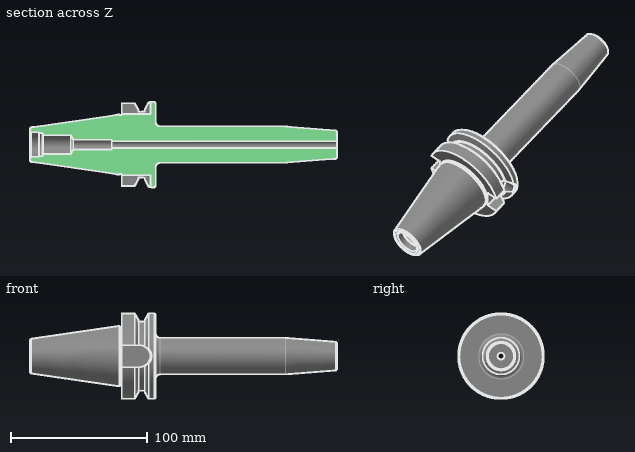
import cadquery as cq
import math

TAPER_LENGTH = 65.4
GAUGE_TO_FLANGE = 2.0
GAUGE_TO_SHOULDER = 27.0
GAUGE_TO_NOSE = 160.0
X_FLANGE = TAPER_LENGTH + GAUGE_TO_FLANGE
X_SHOULDER = TAPER_LENGTH + GAUGE_TO_SHOULDER
X_NOSE = TAPER_LENGTH + GAUGE_TO_NOSE

GAUGE_RADIUS = 44.45 / 2
TAPER_SLOPE = 7 / 24 / 2
TAPER_END_RADIUS = GAUGE_RADIUS - TAPER_LENGTH * TAPER_SLOPE
TAPER_END_CHAMFER = 0.9

RELIEF_DEPTH = 0.5
RELIEF_WIDTH = 1.0

FLANGE_RADIUS = 63 / 2
FLANGE_EDGE_CHAMFER = 1.0
GROOVE_CENTRE = TAPER_LENGTH + 16.6
GROOVE_WIDTH = 10.2
GROOVE_FLOOR_WIDTH = 4.5
GROOVE_FLOOR_RADIUS = 25.5
GROOVE_FLANK_ANGLE = 30.0

SLOT_WIDTH = 16.1
SLOT_FLOOR = 22.5
SLOT_END = 88.4
SLOT_RIM_CHAMFER = 1.0

SHANK_RADIUS = 13.5
SHANK_FILLET = 3.0
NOSE_RADIUS = 10.5
NOSE_ANGLE = 4.5
NOSE_CHAMFER = 1.0

MOUTH_RADIUS = 10.2
MOUTH_CONE_DEPTH = 1.0
PILOT_RADIUS = 8.9
PILOT_DEPTH = 6.5
THREAD_RADIUS = 8.4
THREAD_DEPTH = 9.0
CORE_RADIUS = 6.8
CORE_DEPTH = 30.0
STEP_ANGLE = 60.0
DRILL_POINT_ANGLE = 60.0
DRILL_RADIUS = 3.5
DRILL_DEPTH = 60.0
THROUGH_RADIUS = 2.4


def cone_length(large_radius, small_radius, half_angle):
    """Length over which a cone narrows between two radii, for a half angle in degrees."""
    return (large_radius - small_radius) / math.tan(math.radians(half_angle))


def make_body():
    """Revolve the outer outline of the holder about the X axis."""
    groove_flank_depth = cone_length(GROOVE_WIDTH / 2, GROOVE_FLOOR_WIDTH / 2, GROOVE_FLANK_ANGLE)
    groove_wall_radius = FLANGE_RADIUS - groove_flank_depth
    floor_start = GROOVE_CENTRE - GROOVE_FLOOR_WIDTH / 2
    floor_end = GROOVE_CENTRE + GROOVE_FLOOR_WIDTH / 2
    nose_length = cone_length(SHANK_RADIUS, NOSE_RADIUS, NOSE_ANGLE)
    relief_radius = GAUGE_RADIUS - RELIEF_DEPTH
    fillet_mid = SHANK_FILLET * (1 - math.sqrt(0.5))
    nose_chamfer_radius = NOSE_RADIUS + NOSE_CHAMFER * math.tan(math.radians(NOSE_ANGLE))
    outline = (
        cq.Workplane("XZ")
        .moveTo(0, 0)
        .lineTo(0, TAPER_END_RADIUS - TAPER_END_CHAMFER)
        .lineTo(TAPER_END_CHAMFER, TAPER_END_RADIUS + TAPER_END_CHAMFER * TAPER_SLOPE)
        .lineTo(TAPER_LENGTH, GAUGE_RADIUS)
        .lineTo(TAPER_LENGTH + RELIEF_DEPTH, relief_radius)
        .lineTo(TAPER_LENGTH + RELIEF_DEPTH + RELIEF_WIDTH, relief_radius)
        .lineTo(X_FLANGE, GAUGE_RADIUS)
        .lineTo(X_FLANGE, FLANGE_RADIUS)
        .lineTo(GROOVE_CENTRE - GROOVE_WIDTH / 2, FLANGE_RADIUS)
        .lineTo(floor_start, groove_wall_radius)
        .lineTo(floor_start, GROOVE_FLOOR_RADIUS)
        .lineTo(floor_end, GROOVE_FLOOR_RADIUS)
        .lineTo(floor_end, groove_wall_radius)
        .lineTo(GROOVE_CENTRE + GROOVE_WIDTH / 2, FLANGE_RADIUS)
        .lineTo(X_SHOULDER - FLANGE_EDGE_CHAMFER, FLANGE_RADIUS)
        .lineTo(X_SHOULDER, FLANGE_RADIUS - FLANGE_EDGE_CHAMFER)
        .lineTo(X_SHOULDER, SHANK_RADIUS + SHANK_FILLET)
        .threePointArc(
            (X_SHOULDER + fillet_mid, SHANK_RADIUS + fillet_mid),
            (X_SHOULDER + SHANK_FILLET, SHANK_RADIUS),
        )
        .lineTo(X_NOSE - nose_length, SHANK_RADIUS)
        .lineTo(X_NOSE - NOSE_CHAMFER, nose_chamfer_radius)
        .lineTo(X_NOSE, NOSE_RADIUS - NOSE_CHAMFER)
        .lineTo(X_NOSE, 0)
        .close()
    )
    return outline.revolve(360, (0, 0, 0), (1, 0, 0))


def make_bore():
    """Revolve the stepped bore that runs the whole length of the holder."""
    pilot_cone = cone_length(PILOT_RADIUS, THREAD_RADIUS, STEP_ANGLE)
    thread_cone = cone_length(THREAD_RADIUS, CORE_RADIUS, STEP_ANGLE)
    drill_cone = cone_length(CORE_RADIUS, DRILL_RADIUS, DRILL_POINT_ANGLE)
    outline = (
        cq.Workplane("XZ")
        .moveTo(0, 0)
        .lineTo(0, MOUTH_RADIUS)
        .lineTo(MOUTH_CONE_DEPTH, PILOT_RADIUS)
        .lineTo(PILOT_DEPTH, PILOT_RADIUS)
        .lineTo(PILOT_DEPTH + pilot_cone, THREAD_RADIUS)
        .lineTo(THREAD_DEPTH, THREAD_RADIUS)
        .lineTo(THREAD_DEPTH + thread_cone, CORE_RADIUS)
        .lineTo(CORE_DEPTH, CORE_RADIUS)
        .lineTo(CORE_DEPTH + drill_cone, DRILL_RADIUS)
        .lineTo(DRILL_DEPTH, DRILL_RADIUS)
        .lineTo(DRILL_DEPTH, THROUGH_RADIUS)
        .lineTo(X_NOSE, THROUGH_RADIUS)
        .lineTo(X_NOSE, 0)
        .close()
    )
    return outline.revolve(360, (0, 0, 0), (1, 0, 0))


def make_drive_slot():
    """Cutter for the -Y slot: flat floor, round end and a countersunk rim at the flange."""
    end_radius = SLOT_WIDTH / 2
    end_centre = SLOT_END - end_radius
    slot_depth = FLANGE_RADIUS - SLOT_FLOOR
    straight_length = end_centre - X_FLANGE
    channel = (
        cq.Workplane("XY", origin=(X_FLANGE, -FLANGE_RADIUS, 0))
        .box(straight_length, slot_depth, SLOT_WIDTH, centered=(False, False, True))
    )
    round_end = (
        cq.Workplane("XZ", origin=(end_centre, -SLOT_FLOOR, 0))
        .circle(end_radius)
        .extrude(slot_depth)
    )
    rim = cq.Workplane(
        cq.Solid.makeCone(
            end_radius + SLOT_RIM_CHAMFER,
            end_radius,
            SLOT_RIM_CHAMFER,
            cq.Vector(end_centre, -FLANGE_RADIUS, 0),
            cq.Vector(0, 1, 0),
        )
    )
    return channel.union(round_end).union(rim)


drive_slot = make_drive_slot()
result = (
    make_body()
    .cut(make_bore())
    .cut(drive_slot)
    .cut(drive_slot.mirror("XZ"))
)